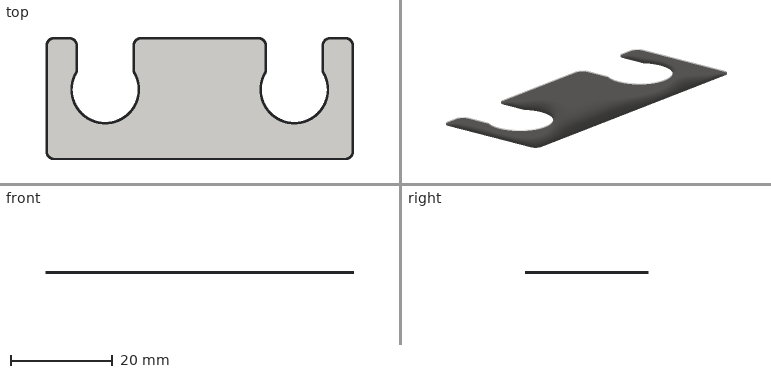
import cadquery as cq

length = 60.3
width = 23.85
thickness = 0.25
corner_radius = 1.5

slot_spacing = 37.2
hole_diameter = 13.2
neck_width = 11.15
hole_to_back_edge = 10.15


def keyhole_cutter(x):
    """Round hole with a narrower straight neck running out to the +Y edge."""
    hole_y = width / 2 - hole_to_back_edge
    hole = (
        cq.Workplane("XY")
        .center(x, hole_y)
        .circle(hole_diameter / 2)
        .extrude(thickness)
    )
    neck = (
        cq.Workplane("XY")
        .center(x, hole_y + hole_to_back_edge / 2)
        .rect(neck_width, hole_to_back_edge)
        .extrude(thickness)
    )
    return hole.union(neck)


plate = cq.Workplane("XY").box(length, width, thickness, centered=(True, True, False))
for slot_x in (-slot_spacing / 2, slot_spacing / 2):
    plate = plate.cut(keyhole_cutter(slot_x))

plate = plate.faces("<Y").edges("|Z").fillet(corner_radius)
result = plate.faces(">Y").edges("|Z").fillet(corner_radius)